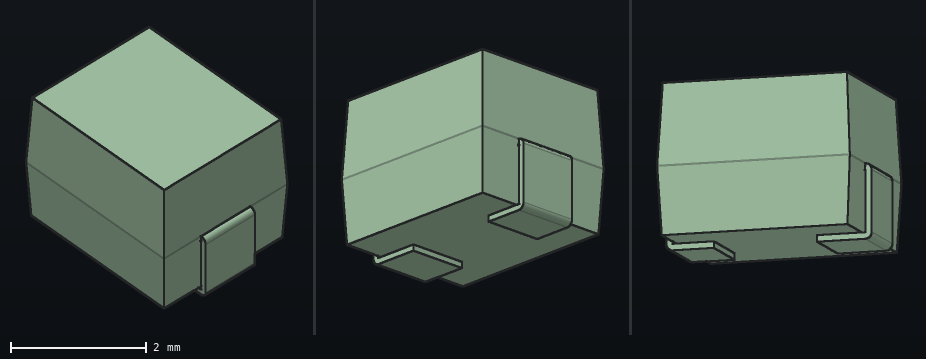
import cadquery as cq
import math

overall_length = 3.2
overall_width = 2.5
overall_height = 2.4

lead_thickness = 0.1
lead_width = 1.0
lead_height = 1.14
tab_depth = 0.1
left_foot_length = 0.742
right_foot_length = 0.85

draft_angle = 3.0
band_height = 0.015
housing_length = overall_length - 2 * lead_thickness
housing_bottom = lead_thickness
band_top = lead_height + band_height / 2
band_bottom = band_top - band_height


def make_housing():
    """Moulded block, widest at the band and drafted towards top and bottom."""
    band = (
        cq.Workplane("XY", origin=(0, 0, band_bottom))
        .rect(housing_length, overall_width)
        .extrude(band_height)
    )
    upper_half = (
        cq.Workplane("XY", origin=(0, 0, band_top))
        .rect(housing_length, overall_width)
        .extrude(overall_height - band_top, taper=draft_angle)
    )
    lower_half = (
        cq.Workplane("XY", origin=(0, 0, band_bottom))
        .rect(housing_length, overall_width)
        .extrude(-(band_bottom - housing_bottom), taper=draft_angle)
    )
    return band.union(upper_half).union(lower_half)


def make_lead(side, foot_length):
    """C-bent strip on the +X (side = 1) or -X (side = -1) end, with its top tab inside the housing."""
    outer_x = side * overall_length / 2
    inner_x = side * housing_length / 2
    foot_end_x = side * (overall_length / 2 - foot_length)
    tab_end_x = side * (housing_length / 2 - tab_depth)
    bend_reach = lead_thickness * math.sqrt(0.5)
    bend_x = inner_x + side * bend_reach
    upper_bend_z = lead_height - lead_thickness
    return (
        cq.Workplane("XZ")
        .moveTo(foot_end_x, 0)
        .lineTo(inner_x, 0)
        .threePointArc((bend_x, lead_thickness - bend_reach), (outer_x, lead_thickness))
        .lineTo(outer_x, upper_bend_z)
        .threePointArc((bend_x, upper_bend_z + bend_reach), (inner_x, lead_height))
        .lineTo(tab_end_x, lead_height)
        .lineTo(tab_end_x, upper_bend_z)
        .lineTo(inner_x, upper_bend_z)
        .lineTo(inner_x, lead_thickness)
        .lineTo(foot_end_x, lead_thickness)
        .close()
        .extrude(lead_width / 2, both=True)
    )


lead_ends = [(-1, left_foot_length), (1, right_foot_length)]
leads = [make_lead(side, foot_length) for side, foot_length in lead_ends]

housing = make_housing()
for lead in leads:
    housing = housing.cut(lead)

result = cq.Compound.makeCompound([housing.solids().val(), *[lead.val() for lead in leads]])